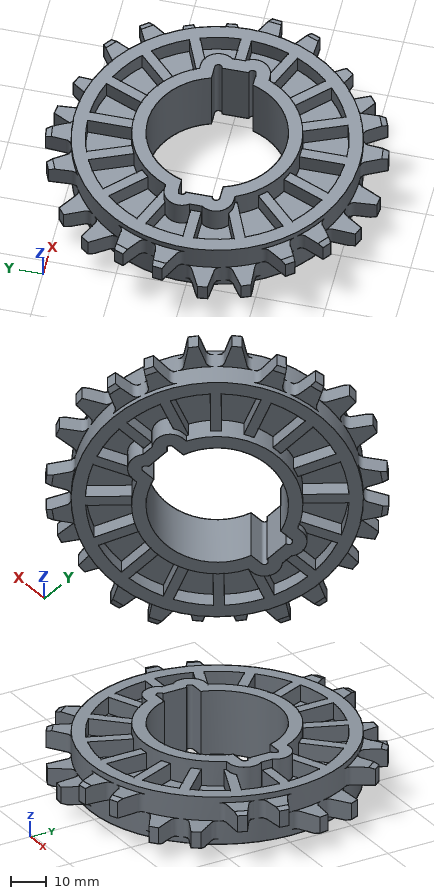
import cadquery as cq
import math

hub_height = 20.0
rim_height = 14.9
tooth_layer_height = 5.7
web_thickness = 4.6

bore_radius = 19.9
keyway_reach = 23.2
keyway_width = 11.9
relief_radius = 1.1
hub_wall = 4.0

rim_radius = 40.9
rim_inner_radius = 36.9
rib_width = 3.1
rib_count = 16

tooth_count = 24
tooth_pitch = 360 / tooth_count
pair_spacing = 4 * tooth_pitch
first_upper_pair_angle = 3 * tooth_pitch
first_lower_pair_angle = tooth_pitch
overall_size = 95.9
tip_inner_width = 1.6
tip_outer_width = 1.2
inner_flank_angle = 12
outer_flank_angle = 19
root_fillet = 2.0
tip_chamfer_length = 1.7
tip_chamfer_drop = 0.6

half_pitch_angle = math.radians(tooth_pitch / 2)
tip_distance = (overall_size / 2 - tip_outer_width * math.sin(half_pitch_angle)) / math.cos(half_pitch_angle)


def bore_shape(offset, height):
    """Keyed bore outline, grown outward by offset, as a block centred on the mid plane."""
    half_height = height / 2
    relief_y = keyway_width / 2 - relief_radius
    block = cq.Workplane("XY").circle(bore_radius + offset).extrude(half_height, both=True)
    flanks = cq.Workplane("XY").rect(2 * keyway_reach, keyway_width + 2 * offset)
    end_faces = cq.Workplane("XY").rect(2 * (keyway_reach + offset), 2 * relief_y)
    relief_centres = cq.Workplane("XY").rect(2 * keyway_reach, 2 * relief_y, forConstruction=True).vertices()
    reliefs = relief_centres.circle(relief_radius + offset)
    for outline in (flanks, end_faces, reliefs):
        block = block.union(outline.extrude(half_height, both=True))
    return block


def tooth():
    """Tooth along +X, standing on the mid plane, with its partner on the +Y side."""
    root_distance = (rim_radius + rim_inner_radius) / 2
    tooth_length = tip_distance - root_distance
    root_inner = tip_inner_width + tooth_length * math.tan(math.radians(inner_flank_angle))
    root_outer = tip_outer_width + tooth_length * math.tan(math.radians(outer_flank_angle))
    outline = [
        (root_distance, -root_outer),
        (tip_distance, -tip_outer_width),
        (tip_distance, tip_inner_width),
        (root_distance, root_inner),
    ]
    body = cq.Workplane("XY").polyline(outline).close().extrude(tooth_layer_height)
    tip_edge = body.faces(">X").edges(">Z")
    return tip_edge.chamfer(tip_chamfer_drop, tip_chamfer_length)


def is_root_edge(edge):
    """True for the upright edges where a tooth flank meets the rim."""
    centre = edge.Center()
    return math.isclose(math.hypot(centre.x, centre.y), rim_radius, abs_tol=0.1)


def tooth_layer(first_pair_angle):
    """Ring with tooth pairs, filleted at the roots, standing on the mid plane."""
    right_tooth = tooth().rotate((0, 0, 0), (0, 0, 1), -tooth_pitch / 2)
    pair = right_tooth.union(right_tooth.mirror("XZ"))
    layer = cq.Workplane("XY").circle(rim_radius).circle(rim_inner_radius).extrude(tooth_layer_height)
    for index in range(round(360 / pair_spacing)):
        angle = first_pair_angle + index * pair_spacing
        layer = layer.union(pair.rotate((0, 0, 0), (0, 0, 1), angle))
    roots = layer.edges("|Z").filter(is_root_edge)
    return roots.fillet(root_fillet)


def wheel_body():
    """Rim and web joined by radial ribs."""
    rim = cq.Workplane("XY").circle(rim_radius).circle(rim_inner_radius)
    body = rim.extrude(rim_height / 2, both=True)
    body = body.union(cq.Workplane("XY").circle(rim_inner_radius).extrude(web_thickness / 2, both=True))
    rib_pair_length = rim_radius + rim_inner_radius
    rib_pair = cq.Workplane("XY").rect(rib_pair_length, rib_width).extrude(rim_height / 2, both=True)
    for index in range(rib_count // 2):
        body = body.union(rib_pair.rotate((0, 0, 0), (0, 0, 1), index * 360 / rib_count))
    return body


upper_teeth = tooth_layer(first_upper_pair_angle)
lower_teeth = tooth_layer(first_lower_pair_angle).mirror("XY")
hub = bore_shape(hub_wall, hub_height)
bore = bore_shape(0, hub_height)
result = wheel_body().union(upper_teeth).union(lower_teeth).union(hub).cut(bore)